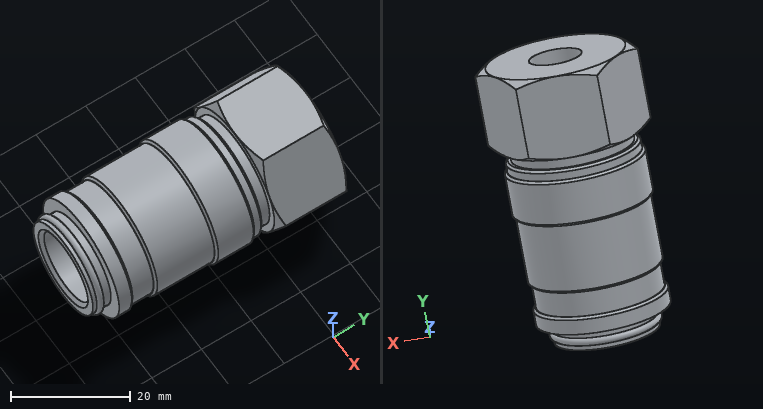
import cadquery as cq
import math

length = 49.0

hex_across_flats = 24.0
hex_length = 14.4
hex_chamfer_angle = math.radians(30)
hex_corner_radius = hex_across_flats / math.sqrt(3)
hex_face_radius = hex_across_flats / 2 - 0.05
hex_chamfer_depth = (hex_corner_radius - hex_face_radius) * math.tan(hex_chamfer_angle)

nose_radius = 9.0
collar_radius = 11.5
groove_radius = 11.0
band_radius = hex_across_flats / 2
neck_radius = 10.55
collar_start = 3.65
collar_end = 6.6
sleeve_start = 10.9
band_start = 22.85
band_end = 30.8
lip_end = 32.65
edge_chamfer = 0.45

ring_section_radius = 0.7
ring_outer_radius = 9.6
ring_position = 1.45

through_radius = 4.5
bore_radius = 6.8
mouth_radius = 7.5
mouth_depth = mouth_radius - bore_radius
bore_depth = band_start


def cylinder(radius, start, end):
    """Solid cylinder between two distances from the nose tip."""
    plane = cq.Workplane("XZ", origin=(0, start - length, 0))
    return plane.circle(radius).extrude(start - end)


def revolve_profile(points):
    """Revolve a closed (radius, distance from nose tip) outline about the Y axis."""
    outline = [(radius, distance - length) for radius, distance in points]
    return cq.Workplane("XY").polyline(outline).close().revolve(360, (0, 0, 0), (0, 1, 0))


def make_hex():
    """Hexagon with corners on X, both ends turned to a conical chamfer."""
    prism = cq.Workplane("XZ").polygon(6, 2 * hex_corner_radius).extrude(hex_length)
    start = length - hex_length
    envelope = revolve_profile([
        (0, start),
        (hex_face_radius, start),
        (hex_corner_radius, start + hex_chamfer_depth),
        (hex_corner_radius, length - hex_chamfer_depth),
        (hex_face_radius, length),
        (0, length),
    ])
    return prism.intersect(envelope)


def make_body():
    """Stepped, turned body from the nose to the back of the nut."""
    collar = cylinder(collar_radius, collar_start, collar_end).faces(">Y").chamfer(edge_chamfer)
    sleeve = cylinder(collar_radius, sleeve_start, lip_end).faces("<Y or >Y").chamfer(edge_chamfer)
    band = cylinder(band_radius, band_start, band_end).faces("<Y or >Y").chamfer(edge_chamfer)
    body = cylinder(nose_radius, 0, collar_start)
    body = body.union(cylinder(groove_radius, collar_start, sleeve_start))
    body = body.union(cylinder(neck_radius, sleeve_start, length - hex_length))
    for step in (collar, sleeve, band):
        body = body.union(step)
    return body


def make_seal_ring():
    """Torus partly sunk into the nose."""
    centre_radius = ring_outer_radius - ring_section_radius
    section = cq.Workplane("XY").center(centre_radius, ring_position - length).circle(ring_section_radius)
    return section.revolve(360, (-centre_radius, 0, 0), (-centre_radius, 1, 0))


def make_bore():
    """Through hole, widened at the nose and flared at its mouth."""
    return revolve_profile([
        (0, 0),
        (mouth_radius, 0),
        (bore_radius, mouth_depth),
        (bore_radius, bore_depth),
        (through_radius, bore_depth),
        (through_radius, length),
        (0, length),
    ])


result = make_hex().union(make_body()).union(make_seal_ring()).cut(make_bore())